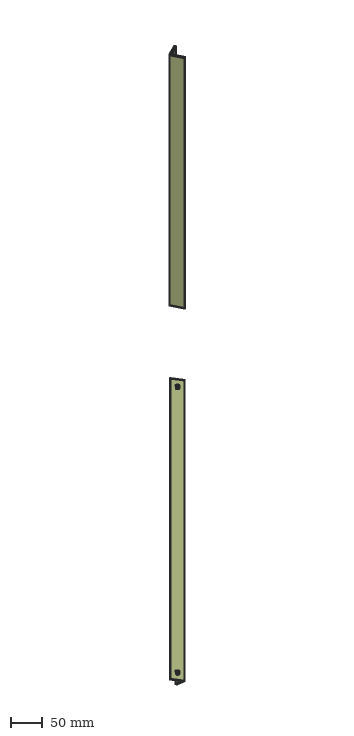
import cadquery as cq

length = 492
leg_width = 25.5
thickness = 3.0

hole_diameter = 7.0
hole_end_distance = 12.5
hole_heights = (hole_end_distance, length - hole_end_distance)


def make_angle_bar():
    """Extrude the L-shaped section over the full length."""
    return (
        cq.Workplane("XY")
        .moveTo(0, 0)
        .lineTo(leg_width, 0)
        .lineTo(leg_width, thickness)
        .lineTo(thickness, thickness)
        .lineTo(thickness, leg_width)
        .lineTo(0, leg_width)
        .close()
        .extrude(length)
    )


def make_hole_cutters():
    """Cylinders along X, centred on the leg width, one near each end."""
    centres = [(leg_width / 2, height) for height in hole_heights]
    return (
        cq.Workplane("YZ")
        .pushPoints(centres)
        .circle(hole_diameter / 2)
        .extrude(thickness)
    )


result = make_angle_bar().cut(make_hole_cutters())